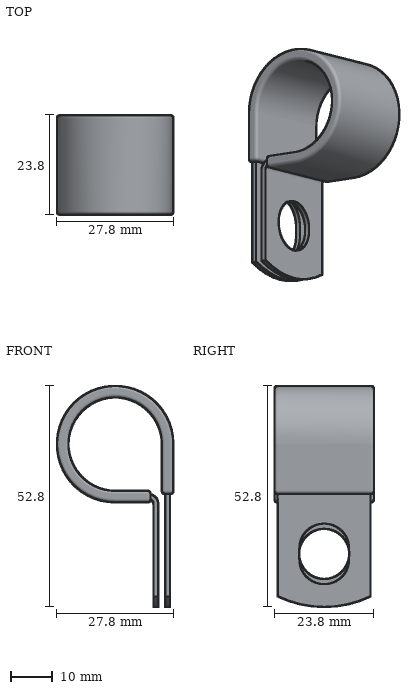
import cadquery as cq
import math


bore_radius = 22.225 / 2
strap_thickness = 1.22
cushion_skin = 0.794
cushion_thickness = strap_thickness + 2 * cushion_skin
cushion_outer_radius = bore_radius + cushion_thickness
cushion_width = 23.81
strap_width = cushion_width - 2 * cushion_skin
cushion_lower_end_x = 8.49
cushion_right_end_z = -11.93
edge_radius = 0.79

strap_inner_radius = bore_radius + cushion_skin
strap_outer_radius = strap_inner_radius + strap_thickness
leg_gap = 1.5875
bent_leg_right_x = strap_inner_radius - leg_gap
bent_leg_left_x = bent_leg_right_x - strap_thickness
bend_outer_radius = 2.381
bend_inner_radius = bend_outer_radius - strap_thickness
bend_start_x = bent_leg_right_x - bend_outer_radius

leg_bottom_z = -38.89
tip_radius = 25.4
tip_corner_z = leg_bottom_z + tip_radius - math.sqrt(tip_radius**2 - (strap_width / 2) ** 2)
bolt_hole_diameter = 11.906
bolt_hole_height = 12.7
bolt_hole_z = leg_bottom_z + bolt_hole_height
bolt_slot_travel = 2.54
bolt_slot_length = bolt_hole_diameter + bolt_slot_travel
bolt_slot_angle = 90


def extrude_across_width(outline, width):
    """Extrude an XZ outline symmetrically about Y = 0."""
    return outline.close().extrude(width / 2, both=True)


def end_edges(x_range, z_range):
    """Selector for the edges running along Y at one end of the cushion."""
    margin = 0.1
    low = (x_range[0] - margin, -margin, z_range[0] - margin)
    high = (x_range[1] + margin, margin, z_range[1] + margin)
    return cq.selectors.BoxSelector(low, high)


def make_cushion():
    """Three-quarter loop with a horizontal and a vertical run, rounded on every sharp edge."""
    diagonal = math.sqrt(0.5)
    outline = (
        cq.Workplane("XZ")
        .moveTo(cushion_lower_end_x, -cushion_outer_radius)
        .lineTo(0, -cushion_outer_radius)
        .threePointArc(
            (-cushion_outer_radius * diagonal, cushion_outer_radius * diagonal),
            (cushion_outer_radius, 0),
        )
        .lineTo(cushion_outer_radius, cushion_right_end_z)
        .lineTo(bore_radius, cushion_right_end_z)
        .lineTo(bore_radius, 0)
        .threePointArc((-bore_radius * diagonal, bore_radius * diagonal), (0, -bore_radius))
        .lineTo(cushion_lower_end_x, -bore_radius)
    )
    side_edges = cq.selectors.StringSyntaxSelector(">Y or <Y")
    lower_end = end_edges(
        (cushion_lower_end_x, cushion_lower_end_x), (-cushion_outer_radius, -bore_radius)
    )
    right_end = end_edges(
        (bore_radius, cushion_outer_radius), (cushion_right_end_z, cushion_right_end_z)
    )
    return (
        extrude_across_width(outline, cushion_width)
        .edges(side_edges + lower_end + right_end)
        .fillet(edge_radius)
    )


def make_bent_leg():
    """Leg that leaves the horizontal run and bends down through a quarter turn."""
    bend_center_z = -strap_outer_radius - bend_inner_radius
    outline = (
        cq.Workplane("XZ")
        .moveTo(bend_start_x, -strap_inner_radius)
        .radiusArc((bent_leg_right_x, bend_center_z), bend_outer_radius)
        .lineTo(bent_leg_right_x, leg_bottom_z)
        .lineTo(bent_leg_left_x, leg_bottom_z)
        .lineTo(bent_leg_left_x, bend_center_z)
        .radiusArc((bend_start_x, -strap_outer_radius), -bend_inner_radius)
    )
    return extrude_across_width(outline, strap_width)


def make_straight_leg():
    """Flat leg that continues the vertical run."""
    outline = (
        cq.Workplane("XZ")
        .moveTo(strap_inner_radius, cushion_right_end_z)
        .lineTo(strap_outer_radius, cushion_right_end_z)
        .lineTo(strap_outer_radius, leg_bottom_z)
        .lineTo(strap_inner_radius, leg_bottom_z)
    )
    return extrude_across_width(outline, strap_width)


def make_leg_envelope():
    """Side profile shared by both legs, with a rounded tip, spanning them along X."""
    half_width = strap_width / 2
    return (
        cq.Workplane("YZ")
        .moveTo(-half_width, 0)
        .lineTo(-half_width, tip_corner_z)
        .threePointArc((0, leg_bottom_z), (half_width, tip_corner_z))
        .lineTo(half_width, 0)
        .close()
        .extrude(cushion_outer_radius)
    )


def make_bolt_hole():
    """Round hole cutter for the bent leg."""
    return (
        cq.Workplane("YZ")
        .center(0, bolt_hole_z)
        .circle(bolt_hole_diameter / 2)
        .extrude(cushion_outer_radius)
    )


def make_bolt_slot():
    """Slot cutter for the straight leg, elongated along Z about the bolt hole."""
    return (
        cq.Workplane("YZ")
        .center(0, bolt_hole_z)
        .slot2D(bolt_slot_length, bolt_hole_diameter, bolt_slot_angle)
        .extrude(cushion_outer_radius)
    )


leg_envelope = make_leg_envelope()
bent_leg = make_bent_leg().intersect(leg_envelope).cut(make_bolt_hole())
straight_leg = make_straight_leg().intersect(leg_envelope).cut(make_bolt_slot())
result = make_cushion().union(bent_leg).union(straight_leg)